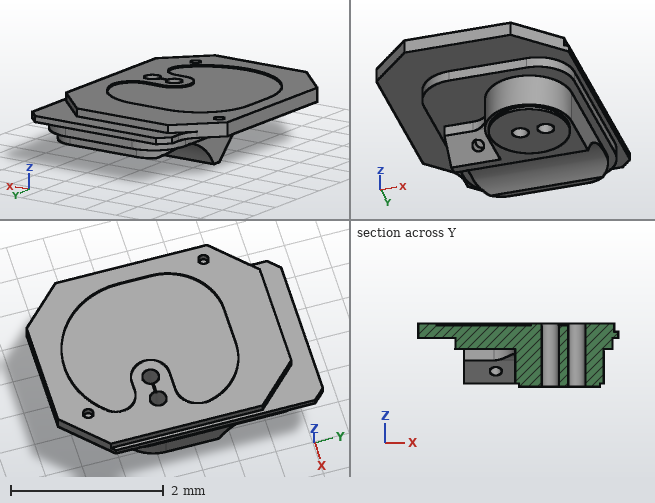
import cadquery as cq
import math

OVERCUT = 0.035

PLATE_LENGTH = 3.185
PLATE_WIDTH = 2.568
PLATE_THICK = 0.19
PLATE_CHAMFER = 0.557
LEDGE_LEFT = 0.395
LEDGE_RIGHT = 2.62
LEDGE_BACK = 3.48
LEDGE_THICK = 0.085
LEDGE_CHAMFER = 0.15
LEDGE_BLEND_RADIUS = 0.375

FLANGE_LEFT = 0.485
FLANGE_RIGHT = 2.547
FLANGE_FRONT = 0.6
FLANGE_BACK = 3.395
FLANGE_RADIUS = 0.5
FLANGE_THICK = 0.145

BODY_DEPTH = 0.452
BODY_INSET_X = 0.115
BODY_INSET_BACK = 0.105
BODY_CORNER_RADIUS = 0.39
ARM_FRONT = 1.64
ARM_FILLET = 0.28
BARREL_RADIUS = 0.58
BARREL_Y = 1.347
LIP_RADIUS = 0.532
LIP_HEIGHT = 0.042
ARCH_Y = 2.795
ARCH_RADIUS = 0.828
ARCH_TOP_Z = -0.177
TAIL_Z = -0.285

SLOPE_START_Z = -0.292
SLOPE_TOP_Z = -0.21
SLOPE_BEND_RADIUS = 0.265
ARM_HOLE_X = 1.015
ARM_HOLE_Z = -0.435
ARM_HOLE_DIAMETER = 0.155
ARM_HOLE_DEPTH = 0.21

PIN_HOLE_DIAMETER = 0.22
PIN_HOLE_XS = (1.73, 2.078)
SLIT_WIDTH = 0.015
SLIT_DEPTH = 0.02
DOWEL_DIAMETER = 0.135
DOWEL_DEPTH = 0.105
DOWEL_CENTERS = ((0.202, 2.52), (2.04, 0.405))

POCKET_DEPTH = 0.02
POCKET_LEFT = 0.24
POCKET_BACK = 2.565
POCKET_FRONT_RADIUS = 1.04
POCKET_CORNER_RADIUS = 0.765
POCKET_BACK_LOBE_RADIUS = 0.305
POCKET_BACK_LOBE_X = 2.0
POCKET_NECK_RADIUS = 0.258
POCKET_FRONT_LOBE_RADIUS = 0.258

FLANGE_BOTTOM = -FLANGE_THICK
BODY_BOTTOM = FLANGE_BOTTOM - BODY_DEPTH
BODY_LEFT = FLANGE_LEFT + BODY_INSET_X
BODY_RIGHT = FLANGE_RIGHT - BODY_INSET_X
BODY_BACK = FLANGE_BACK - BODY_INSET_BACK
BARREL_X = BODY_RIGHT - BARREL_RADIUS
BARREL_LEFT = BARREL_X - BARREL_RADIUS


def on_circle(center, radius, degrees):
    """Point on a circle at an angle measured from +X."""
    angle = math.radians(degrees)
    return center[0] + radius * math.cos(angle), center[1] + radius * math.sin(angle)


def direction(start, end):
    """Angle in degrees from one point to another."""
    return math.degrees(math.atan2(end[1] - start[1], end[0] - start[0]))


def arc(path, center, radius, start, end):
    """Add a circular arc that runs between two angles about a center."""
    middle = on_circle(center, radius, (start + end) / 2)
    return path.threePointArc(middle, on_circle(center, radius, end))


def block(left, front, right, back, bottom, height):
    """Box given by its edges in plan, its bottom level and its height."""
    box = cq.Workplane("XY").box(right - left, back - front, height, centered=False)
    return box.translate((left, front, bottom))


def make_plate():
    plate = block(0, 0, PLATE_WIDTH, PLATE_LENGTH, 0, PLATE_THICK)
    return plate.edges("|Z").chamfer(PLATE_CHAMFER)


def make_ledge():
    blend_x = LEDGE_LEFT - LEDGE_BLEND_RADIUS * (1 - math.cos(math.radians(45)))
    blend_y = blend_x + PLATE_LENGTH - PLATE_CHAMFER
    blend_center = (
        LEDGE_LEFT - LEDGE_BLEND_RADIUS,
        blend_y + LEDGE_BLEND_RADIUS * math.sin(math.radians(45)),
    )
    front_corner_x = PLATE_WIDTH - PLATE_CHAMFER
    outline = (
        cq.Workplane("XY")
        .moveTo(front_corner_x, 0)
        .lineTo(LEDGE_RIGHT, LEDGE_RIGHT - front_corner_x)
        .lineTo(LEDGE_RIGHT, LEDGE_BACK - LEDGE_CHAMFER)
        .lineTo(LEDGE_RIGHT - LEDGE_CHAMFER, LEDGE_BACK)
        .lineTo(LEDGE_LEFT + LEDGE_CHAMFER, LEDGE_BACK)
        .lineTo(LEDGE_LEFT, LEDGE_BACK - LEDGE_CHAMFER)
        .lineTo(LEDGE_LEFT, blend_center[1])
    )
    outline = arc(outline, blend_center, LEDGE_BLEND_RADIUS, 0, -45)
    return outline.close().extrude(LEDGE_THICK)


def make_flange():
    flange = block(FLANGE_LEFT, FLANGE_FRONT, FLANGE_RIGHT, FLANGE_BACK, FLANGE_BOTTOM, FLANGE_THICK)
    return flange.edges("|Z").fillet(FLANGE_RADIUS)


def make_body():
    left_corner = (BODY_LEFT + BODY_CORNER_RADIUS, BODY_BACK - BODY_CORNER_RADIUS)
    right_corner = (BODY_RIGHT - BODY_CORNER_RADIUS, BODY_BACK - BODY_CORNER_RADIUS)
    fillet_center = (BARREL_LEFT - ARM_FILLET, ARM_FRONT - ARM_FILLET)
    outline = cq.Workplane("XY", origin=(0, 0, BODY_BOTTOM)).moveTo(BARREL_LEFT, BARREL_Y)
    outline = arc(outline, (BARREL_X, BARREL_Y), BARREL_RADIUS, 180, 360)
    outline = outline.lineTo(BODY_RIGHT, right_corner[1])
    outline = arc(outline, right_corner, BODY_CORNER_RADIUS, 0, 90)
    outline = outline.lineTo(left_corner[0], BODY_BACK)
    outline = arc(outline, left_corner, BODY_CORNER_RADIUS, 90, 180)
    outline = outline.lineTo(BODY_LEFT, ARM_FRONT).lineTo(fillet_center[0], ARM_FRONT)
    outline = arc(outline, fillet_center, ARM_FILLET, 90, 0)
    body = outline.close().extrude(BODY_DEPTH)

    lip = cq.Workplane("XY", origin=(BARREL_X, BARREL_Y, BODY_BOTTOM)).circle(LIP_RADIUS).extrude(-LIP_HEIGHT)
    return body.union(lip).cut(arch_cut()).cut(slope_cut()).cut(arm_hole())


def arch_cut():
    """Arched relief across the body, ending in a flat under the back edge."""
    center_z = ARCH_TOP_Z - ARCH_RADIUS
    arch = cq.Workplane("YZ").center(ARCH_Y, center_z).circle(ARCH_RADIUS).extrude(LEDGE_RIGHT)
    tail = block(0, ARCH_Y, LEDGE_RIGHT, LEDGE_BACK, center_z, TAIL_Z - center_z)
    return arch.union(tail)


def slope_foot_y():
    """Y where the 45 degree face meets the body bottom."""
    return ARM_FRONT + SLOPE_START_Z - BODY_BOTTOM


def slope_cut():
    """45 degree undercut of the arm that bends level beside the barrel."""
    foot_y = slope_foot_y()
    bend_z = SLOPE_TOP_Z - SLOPE_BEND_RADIUS
    bend_end = SLOPE_TOP_Z - SLOPE_BEND_RADIUS * (1 - math.cos(math.radians(45)))
    bend_end_y = foot_y - (bend_end - BODY_BOTTOM)
    bend_center = (bend_end_y - SLOPE_BEND_RADIUS * math.sin(math.radians(45)), bend_z)
    profile = (
        cq.Workplane("YZ")
        .moveTo(foot_y + OVERCUT, BODY_BOTTOM - OVERCUT)
        .lineTo(bend_end_y, bend_end)
    )
    profile = arc(profile, bend_center, SLOPE_BEND_RADIUS, 45, 90)
    profile = profile.lineTo(FLANGE_FRONT, SLOPE_TOP_Z).lineTo(FLANGE_FRONT, BODY_BOTTOM - OVERCUT)
    return profile.close().extrude(BARREL_LEFT)


def arm_hole():
    start_y = slope_foot_y() - (ARM_HOLE_Z - BODY_BOTTOM)
    start = cq.Vector(ARM_HOLE_X, start_y, ARM_HOLE_Z)
    inward = cq.Vector(0, 1, 1).normalized()
    hole = cq.Solid.makeCylinder(
        ARM_HOLE_DIAMETER / 2, ARM_HOLE_DEPTH + OVERCUT, start - inward * OVERCUT, inward
    )
    return cq.Workplane(obj=hole)


def pocket_cut():
    """Kidney outline of tangent arcs, wrapped around the first pin hole."""
    front = (POCKET_LEFT + POCKET_FRONT_RADIUS, BARREL_Y)
    neck = (PIN_HOLE_XS[0], BARREL_Y)
    left = (POCKET_LEFT + POCKET_CORNER_RADIUS, POCKET_BACK - POCKET_CORNER_RADIUS)
    back_lobe = (POCKET_BACK_LOBE_X, BARREL_Y + POCKET_NECK_RADIUS + POCKET_BACK_LOBE_RADIUS)
    rise = back_lobe[1] - left[1]
    reach = POCKET_CORNER_RADIUS - POCKET_BACK_LOBE_RADIUS
    right = (back_lobe[0] - math.sqrt(reach**2 - rise**2), left[1])
    drop = POCKET_NECK_RADIUS + POCKET_FRONT_LOBE_RADIUS
    reach = POCKET_FRONT_RADIUS - POCKET_FRONT_LOBE_RADIUS
    front_lobe = (front[0] + math.sqrt(reach**2 - drop**2), BARREL_Y - drop)
    back_touch = direction(right, back_lobe)
    front_touch = direction(front, front_lobe)

    path = cq.Workplane("XY", origin=(0, 0, PLATE_THICK)).moveTo(POCKET_LEFT, left[1])
    path = arc(path, left, POCKET_CORNER_RADIUS, 180, 90)
    path = path.lineTo(right[0], POCKET_BACK)
    path = arc(path, right, POCKET_CORNER_RADIUS, 90, back_touch)
    path = arc(path, back_lobe, POCKET_BACK_LOBE_RADIUS, back_touch, -90)
    path = path.lineTo(neck[0], BARREL_Y + POCKET_NECK_RADIUS)
    path = arc(path, neck, POCKET_NECK_RADIUS, 90, 270)
    path = path.lineTo(front_lobe[0], BARREL_Y - POCKET_NECK_RADIUS)
    path = arc(path, front_lobe, POCKET_FRONT_LOBE_RADIUS, 90, front_touch)
    path = arc(path, front, POCKET_FRONT_RADIUS, front_touch, -180)
    return path.close().extrude(-POCKET_DEPTH)


def hole_cuts():
    """Through pin holes, the slit that joins them, and blind dowel holes."""
    top = cq.Workplane("XY", origin=(0, 0, PLATE_THICK))
    pin_depth = PLATE_THICK - BODY_BOTTOM + LIP_HEIGHT + OVERCUT
    pin_centers = [(x, BARREL_Y) for x in PIN_HOLE_XS]
    pins = top.pushPoints(pin_centers).circle(PIN_HOLE_DIAMETER / 2).extrude(-pin_depth)
    dowels = top.pushPoints(DOWEL_CENTERS).circle(DOWEL_DIAMETER / 2).extrude(-DOWEL_DEPTH)
    slit = block(
        PIN_HOLE_XS[0], BARREL_Y - SLIT_WIDTH / 2,
        PIN_HOLE_XS[1], BARREL_Y + SLIT_WIDTH / 2,
        PLATE_THICK - SLIT_DEPTH, SLIT_DEPTH,
    )
    return pins.union(slit).union(dowels)


solid = make_plate().union(make_ledge()).union(make_flange()).union(make_body())
result = solid.cut(pocket_cut()).cut(hole_cuts())